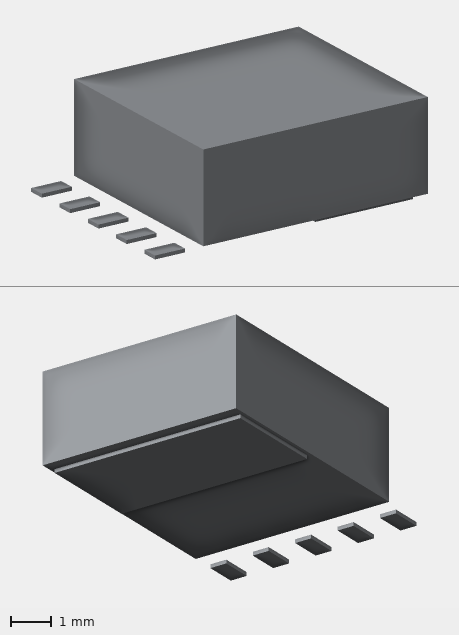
import cadquery as cq

body_width = 5.8
overall_length = 7.94
overall_height = 2.65
pad_thickness = 0.1

body_length = 6.6
body_height = overall_height - pad_thickness
back_y = overall_length / 2
front_y = -overall_length / 2

contact_count = 5
contact_width = 0.48
contact_length = 0.88
contact_pitch = 1.27
contact_row_width = (contact_count - 1) * contact_pitch + contact_width

large_pad_width = contact_row_width
large_pad_length = 2.88
large_pad_back_inset = 0.35


def block(width, length, height, center_x, y_min, z_min):
    """Rectangular block centred in X, starting at y_min and z_min."""
    return (
        cq.Workplane("XY")
        .box(width, length, height, centered=(True, False, False))
        .translate((center_x, y_min, z_min))
    )


def make_body():
    return block(body_width, body_length, body_height, 0, back_y - body_length, pad_thickness)


def make_large_pad():
    y_min = back_y - large_pad_back_inset - large_pad_length
    return block(large_pad_width, large_pad_length, pad_thickness, 0, y_min, 0)


def make_contact(center_x):
    return block(contact_width, contact_length, pad_thickness, center_x, front_y, 0)


body = make_body()
large_pad = make_large_pad()
contacts = []
for index in range(contact_count):
    contact_x = (index - (contact_count - 1) / 2) * contact_pitch
    contacts.append(make_contact(contact_x))

result = cq.Compound.makeCompound(
    [body.val(), large_pad.val(), *[contact.val() for contact in contacts]]
)